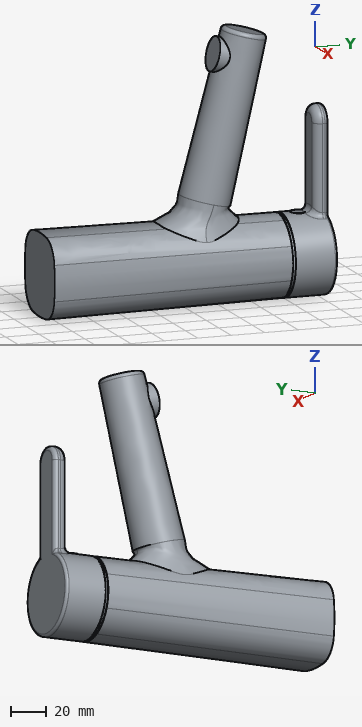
import cadquery as cq
import math

LENGTH = 169.2
WIDTH = 48.5
HALF = WIDTH / 2
SIDE_RADIUS = 79.5
CORNER_RADIUS = 15.2
BACK_ROUND = 1.7

GROOVE_Y = 142.5
GROOVE_WIDTH = 1.7
GROOVE_DEPTH = 0.7
OVERLAP = 1.7

TILT = 14.0
SPOUT_BASE_Y = 98.3
SPOUT_BASE_Z = 35.5
SPOUT_BASE_RADIUS = 15.0
SPOUT_LENGTH = 98.6
SPOUT_TOP_RADIUS = 13.0
SPOUT_TOP_ROUND = 2.5

FLARE_NECK = (96.0, 29.1, 15.4, 16.5)
FLARE_RIM = (93.4, 24.0, 16.5, 24.5)
FLARE_SKIRT = (92.7, 11.8, 21.3, 25.4)

OUTLET_RADIUS = 10.2
OUTLET_Y = 103.4
OUTLET_Z = 118.8
OUTLET_DEPTH = 11.8

LEVER_WIDTH = 19.0
LEVER_THICKNESS = 8.6
LEVER_TOP_Z = 85.3
LEVER_FRONT_ROUND = 4.7
LEVER_BACK_ROUND = 2.5
FOOT_ROUND = 3.7
FOOT_DROP = 5.0
LEVER_ROOT_Z = 13.5

DISC_RADIUS = 4.48
DISC_Y = 154.0
DISC_HEIGHT = 1.7


def eight_arc_wire(half, mid, side_end, y):
    """Closed ring of four side arcs and four corner arcs in the plane at the given Y.

    half is the reach along X and Z, mid is the X = Z coordinate of each corner middle,
    and side_end is the point where the +X side arc meets the upper corner arc.
    """
    far, near = side_end
    return (
        cq.Workplane("XZ", origin=(0, y, 0)).moveTo(far, -near)
        .threePointArc((half, 0), (far, near)).threePointArc((mid, mid), (near, far))
        .threePointArc((0, half), (-near, far)).threePointArc((-mid, mid), (-far, near))
        .threePointArc((-half, 0), (-far, -near)).threePointArc((-mid, -mid), (-near, -far))
        .threePointArc((0, -half), (near, -far)).threePointArc((mid, -mid), (far, -near))
        .close().val()
    )


def make_body():
    """Bar that changes from a bulged square at the front to a circle at the groove."""
    shift = SIDE_RADIUS - HALF
    gap = SIDE_RADIUS - CORNER_RADIUS
    c = (math.sqrt(2 * gap**2 - shift**2) - shift) / 2
    angle = math.asin(c / gap)
    side_end = (SIDE_RADIUS * math.cos(angle) - shift, SIDE_RADIUS * math.sin(angle))
    front = eight_arc_wire(HALF, c + CORNER_RADIUS * math.sqrt(0.5), side_end, 0)

    direction = math.atan2(side_end[1], side_end[0])
    circle_end = (HALF * math.cos(direction), HALF * math.sin(direction))
    back = eight_arc_wire(HALF, HALF * math.sqrt(0.5), circle_end, GROOVE_Y)
    return cq.Workplane(cq.Solid.makeLoft([front, back], True))


def round_bar(y_start, y_end, radius):
    return cq.Workplane("XZ", origin=(0, y_start, 0)).circle(radius).extrude(y_start - y_end)


def make_cap():
    """Cap behind the groove, with the lever rising flush with its back face."""
    cap = round_bar(GROOVE_Y + GROOVE_WIDTH, LENGTH, HALF).faces(">Y").edges().fillet(BACK_ROUND)
    radius = LEVER_WIDTH / 2
    shoulder = LEVER_TOP_Z - radius
    lever = (
        cq.Workplane("XZ", origin=(0, LENGTH, 0))
        .moveTo(-radius, LEVER_ROOT_Z).lineTo(-radius, shoulder)
        .threePointArc((0, LEVER_TOP_Z), (radius, shoulder))
        .lineTo(radius, LEVER_ROOT_Z).close()
        .extrude(LEVER_THICKNESS)
    )
    lever = lever.faces("<Y").edges("not <Z").fillet(LEVER_FRONT_ROUND)
    lever = lever.faces(">Y").edges("not <Z").fillet(LEVER_BACK_ROUND)
    cap = cap.union(lever)
    foot = cq.selectors.BoxSelector(
        (-LEVER_WIDTH, LENGTH - 2 * LEVER_THICKNESS, HALF - FOOT_DROP),
        (LEVER_WIDTH, LENGTH - LEVER_BACK_ROUND, HALF + OVERLAP),
    )
    cap = cap.edges(foot).fillet(FOOT_ROUND)
    disc = (
        cq.Workplane("XY", origin=(0, DISC_Y, HALF - DISC_HEIGHT))
        .circle(DISC_RADIUS).extrude(DISC_HEIGHT)
    )
    return cap.union(disc)


def make_spout():
    """Tapered leg with a rounded top edge."""
    leg = (
        cq.Workplane("XY").circle(SPOUT_BASE_RADIUS)
        .workplane(offset=SPOUT_LENGTH).circle(SPOUT_TOP_RADIUS).loft()
    )
    leg = leg.faces(">Z").edges().fillet(SPOUT_TOP_ROUND)
    leg = leg.rotate((0, 0, 0), (1, 0, 0), -TILT)
    return leg.translate((0, SPOUT_BASE_Y, SPOUT_BASE_Z))


def ellipse_wire(y, z, x_radius, y_radius, tilt=0.0):
    ellipse = cq.Workplane("XY").ellipse(x_radius, y_radius)
    return ellipse.val().rotate(cq.Vector(), cq.Vector(1, 0, 0), -tilt).translate(cq.Vector(0, y, z))


def make_flare():
    ring = ellipse_wire(SPOUT_BASE_Y, SPOUT_BASE_Z, SPOUT_BASE_RADIUS, SPOUT_BASE_RADIUS, TILT)
    sections = [ellipse_wire(*s) for s in (FLARE_SKIRT, FLARE_RIM, FLARE_NECK)]
    return cq.Workplane(cq.Solid.makeLoft(sections + [ring]))


def make_outlet():
    tilt = math.radians(TILT)
    inward = cq.Vector(0, math.cos(tilt), -math.sin(tilt))
    return cq.Workplane(
        cq.Solid.makeCylinder(OUTLET_RADIUS, OUTLET_DEPTH, cq.Vector(0, OUTLET_Y, OUTLET_Z), inward)
    )


result = (
    make_body()
    .union(round_bar(GROOVE_Y - OVERLAP, GROOVE_Y + GROOVE_WIDTH + OVERLAP, HALF - GROOVE_DEPTH))
    .union(make_cap())
    .union(make_flare())
    .union(make_spout())
    .union(make_outlet())
)